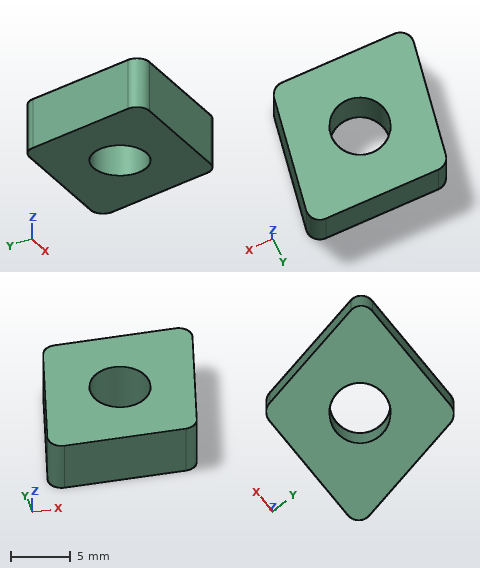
import cadquery as cq
import math

overall_length = 14.68
thickness = 4.75
corner_radius = 1.19
hole_diameter = 5.17
acute_angle = math.radians(80)

inset_side = (overall_length - 2 * corner_radius) / (1 + math.cos(acute_angle))
width = inset_side * math.sin(acute_angle) + 2 * corner_radius

side = width / math.sin(acute_angle)
lean = side * math.cos(acute_angle)
half_width = width / 2
corners = [
    (-(side + lean) / 2, -half_width),
    ((side - lean) / 2, -half_width),
    ((side + lean) / 2, half_width),
    (-(side - lean) / 2, half_width),
]

body = cq.Workplane("XY").polyline(corners).close().extrude(thickness / 2, both=True)
body = body.edges("|Z").fillet(corner_radius)

result = body.faces(">Z").workplane(origin=(0, 0, 0)).hole(hole_diameter)